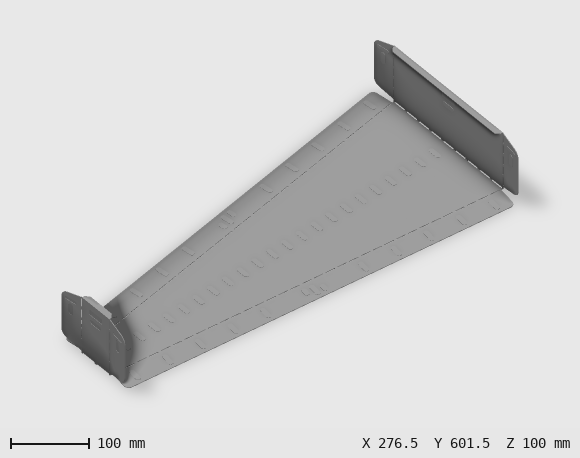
import cadquery as cq
import math


length = 601.5
far_width = 276.5
height = 100.0
sheet = 1.0
taper = math.radians(7.4)

wing_length = 33.5
wing_bottom = 4.0
wing_top = 99.0
wing_taper = math.radians(15)
wing_corner_radius = 12.0

lip_depth = 9.0
lip_side_gap = 1.0
lip_chamfer = 5.5

flange_width = 33.0
flange_end_gap = 4.0
flange_corner_radius = 7.0

knockout_push = sheet / 2
slot_length = 20.0
slot_width = 7.0
hook_slot_width = 5.5
short_slot_length = 13.0
wall_window_width = 24.0
wall_window_height = 9.0

slot_offset = 18.0
wing_hook_slot_z = 82.5
wing_slot_z = 66.0
wall_window_z = 84.0
wall_slot_z = 69.0
floor_slot_count = 23
flange_slot_pitch = 50.0
floor_slot_pitch = flange_slot_pitch / 2
flange_slot_steps = (1.5, 2.5, 3.5, 4.5, 5.5)
short_slot_spacing = 12.0

perforation_width = 1.0
perforation_bridge = 4.0
flange_perforations = 33
wing_perforations = 5
far_wall_perforations = 9
near_wall_perforations = 2
corner_cut = 2.1

cos_taper = math.cos(taper)
sin_taper = math.sin(taper)
wing_drop = wing_length * sin_taper
far_face = length / 2
near_face = -length / 2 + wing_drop + sheet * cos_taper - sheet
far_half = far_width / 2 - wing_length * cos_taper
near_half = far_half - (far_face - near_face) * math.tan(taper)
mid_y = (far_face + near_face) / 2
mid_half = (far_half + near_half) / 2
flange_length = (far_face - near_face) / cos_taper - 2 * flange_end_gap



def row(count, pitch):
    """Evenly spaced positions centred on zero."""
    return [(i - (count - 1) / 2) * pitch for i in range(count)]


def slots(points, long_side, angle=0.0, short_side=slot_width):
    """Round-ended slugs as thick as the sheet."""
    return cq.Workplane("XY").pushPoints(points).slot2D(long_side, short_side, angle).extrude(sheet)


def knock(flat, slugs, inward=1):
    """Push the slugs part way through a flat piece, along the Z sign given."""
    return flat.cut(slugs).union(slugs.translate((0, 0, inward * knockout_push)))


def fold_slots(fold_length, count, centre=0.0):
    """Row of perforations along the Y axis of a flat piece."""
    pitch = fold_length / count
    points = [(0, centre + y) for y in row(count, pitch)]
    return (
        cq.Workplane("XY")
        .pushPoints(points)
        .rect(perforation_width, pitch - perforation_bridge)
        .extrude(2 * sheet, both=True)
    )


def place(flat, plane):
    """Move a flat piece from the XY plane onto another plane."""
    return flat.newObject([flat.val().moved(cq.Location(plane))])


def both_sides(body):
    """The body together with its mirror image across the YZ plane."""
    return body.union(body.mirror("YZ"))


def make_floor():
    outline = [
        (-near_half, near_face),
        (near_half, near_face),
        (far_half, far_face),
        (-far_half, far_face),
    ]
    floor = cq.Workplane("XY").polyline(outline).close().extrude(sheet)
    points = [(0, mid_y + y) for y in row(floor_slot_count, floor_slot_pitch)]
    return knock(floor, slots(points, slot_length))


def make_flange():
    """Flat side flange with the fold on the Y axis and X pointing outward."""
    flange = (
        cq.Workplane("XY")
        .rect(flange_width, flange_length)
        .extrude(sheet)
        .edges("|Z and >X")
        .fillet(flange_corner_radius)
        .translate((flange_width / 2, 0, 0))
    )
    points = [(slot_offset, 0)]
    for step in flange_slot_steps:
        points.append((slot_offset, step * flange_slot_pitch))
        points.append((slot_offset, -step * flange_slot_pitch))
    shift = (slot_length - short_slot_length) / 2
    short_points = [
        (slot_offset + shift, short_slot_spacing),
        (slot_offset - shift, -short_slot_spacing),
    ]
    flange = knock(flange, slots(points, slot_length))
    return knock(flange, slots(short_points, short_slot_length))


def make_wing(inward):
    """Flat tapered wing with the fold on the Y axis, X outward and slugs pushed along the Z sign."""
    rise = wing_length * math.tan(wing_taper)
    outline = [
        (0, wing_bottom),
        (wing_length, wing_bottom + rise),
        (wing_length, wing_top - rise),
        (0, wing_top),
    ]
    wing = (
        cq.Workplane("XY")
        .polyline(outline)
        .close()
        .extrude(sheet)
        .edges("|Z and >X")
        .fillet(wing_corner_radius)
    )
    hook_slot = slots([(slot_offset, wing_hook_slot_z)], slot_length, short_side=hook_slot_width)
    upright_slot = slots([(slot_offset, wing_slot_z)], slot_length, angle=90)
    return knock(knock(wing, hook_slot, inward), upright_slot, inward)


def make_wall(half_width, inward):
    """Flat end wall with its foot on the X axis, Y up and slugs pushed along the Z sign."""
    wall = cq.Workplane("XY").center(0, height / 2).rect(2 * half_width, height).extrude(sheet)
    window = (
        cq.Workplane("XY")
        .center(0, wall_window_z)
        .rect(wall_window_width, wall_window_height)
        .extrude(sheet)
    )
    slot = slots([(0, wall_slot_z)], slot_length)
    return knock(knock(wall, window, inward), slot, inward)


def make_lip(half_width, free_edge):
    """Flat lip centred on the origin; its free edge is the "<Y" or ">Y" side."""
    return (
        cq.Workplane("XY")
        .rect(2 * (half_width - lip_side_gap), lip_depth)
        .extrude(sheet)
        .edges("|Z and " + free_edge)
        .chamfer(lip_chamfer)
    )


def wall_perforations(half_width, count, outer_face):
    """Cuts through the corner where a wall meets the floor."""
    pitch = 2 * half_width / count
    return (
        cq.Workplane("XY", origin=(0, outer_face, 0))
        .pushPoints([(x, 0) for x in row(count, pitch)])
        .rect(pitch - perforation_bridge, 2 * corner_cut)
        .extrude(corner_cut)
    )


def make_end(half_width, outer_face, back_face, inward, perforations):
    """One end's sheet and the cuts along its folds.

    back_face is the wall's face towards +Y and inward the Y sign into the tray.
    """
    wall = place(
        make_wall(half_width, -inward),
        cq.Plane(origin=(0, back_face, 0), xDir=(1, 0, 0), normal=(0, -1, 0)),
    )
    lip = make_lip(half_width, ">Y" if inward > 0 else "<Y").translate(
        (0, outer_face + inward * lip_depth / 2, height - sheet)
    )
    wing_plane = cq.Plane(
        origin=(half_width, back_face, 0),
        xDir=(cos_taper, -sin_taper, 0),
        normal=(-sin_taper, -cos_taper, 0),
    )
    wings = both_sides(place(make_wing(-inward), wing_plane))
    fold = fold_slots(wing_top - wing_bottom, wing_perforations, (wing_top + wing_bottom) / 2)
    folds = both_sides(place(fold, wing_plane))
    foot = wall_perforations(half_width, perforations, outer_face)
    return wall.union(lip).union(wings), folds.union(foot)


flange_plane = cq.Plane(
    origin=(mid_half, mid_y, 0),
    xDir=(cos_taper, -sin_taper, 0),
    normal=(0, 0, 1),
)
flanges = both_sides(place(make_flange(), flange_plane))
flange_folds = both_sides(place(fold_slots(flange_length, flange_perforations), flange_plane))

far_end, far_cuts = make_end(far_half, far_face, far_face, -1, far_wall_perforations)
near_end, near_cuts = make_end(near_half, near_face, near_face + sheet, 1, near_wall_perforations)

tray = make_floor().union(flanges).union(far_end).union(near_end)
result = tray.cut(flange_folds).cut(far_cuts).cut(near_cuts)